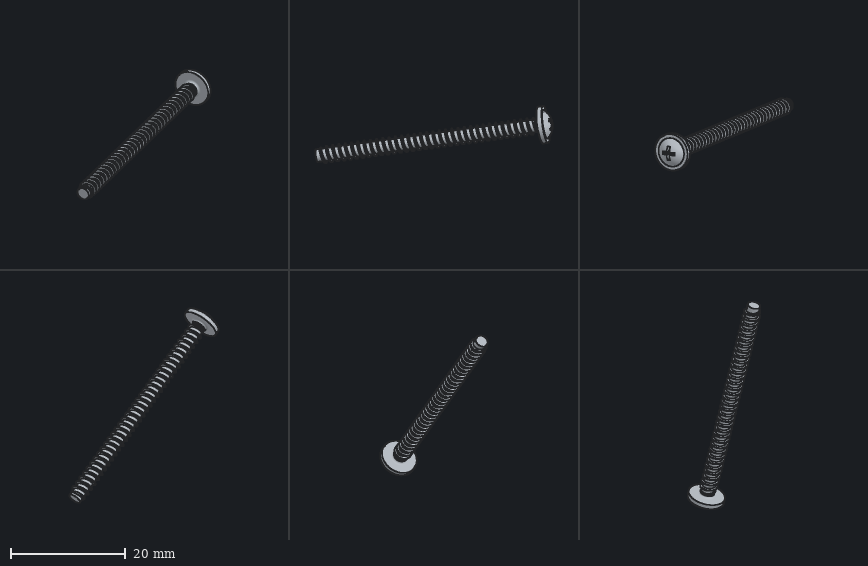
import cadquery as cq
import math


flange_radius = 3.25
flange_thickness = 0.9
dome_base_radius = 2.55
dome_apex = 2.08

recess_span = 2.4
recess_wing_width = 0.5
recess_depth = 1.2

shank_length = 40.0
core_radius = 1.12
neck_radius = 1.25
neck_fillet = 0.5
neck_end = 0.76

crest_radius = 1.5
pitch = 1.12
thread_turns = 35
thread_start = 0.4
crest_width = 0.1
root_width = 0.42
root_overlap = 0.08
first_turn_rise = (0.75, 1.4)
last_turn_fall = (38.45, 39.5)

root_radius = core_radius - root_overlap


def make_body():
    """Head, neck and core of the shank as one turned solid."""
    dome_height = dome_apex - flange_thickness
    dome_radius = (dome_base_radius**2 + dome_height**2) / (2 * dome_height)
    dome_center = dome_apex - dome_radius
    dome_middle_x = dome_base_radius / 2
    dome_middle_z = dome_center + math.sqrt(dome_radius**2 - dome_middle_x**2)
    fillet_center_x = neck_radius + neck_fillet
    fillet_middle = neck_fillet * math.cos(math.pi / 4)
    profile = (
        cq.Workplane("XZ")
        .moveTo(0, -shank_length)
        .lineTo(core_radius, -shank_length)
        .lineTo(core_radius, -neck_end)
        .lineTo(neck_radius, -neck_fillet)
        .threePointArc(
            (fillet_center_x - fillet_middle, fillet_middle - neck_fillet),
            (fillet_center_x, 0),
        )
        .lineTo(flange_radius, 0)
        .lineTo(flange_radius, flange_thickness)
        .lineTo(dome_base_radius, flange_thickness)
        .threePointArc((dome_middle_x, dome_middle_z), (0, dome_apex))
        .close()
    )
    return profile.revolve(360, (0, 0), (0, 1))


def make_recess():
    """Cross-shaped cutter with two straight wings, set into the top of the dome."""
    floor = cq.Workplane("XY").workplane(offset=dome_apex - recess_depth)
    wing = floor.rect(recess_span, recess_wing_width).extrude(recess_depth)
    return wing.union(wing.rotate((0, 0, 0), (0, 0, 1), 90))


def make_thread_envelope():
    """Turned sleeve whose conical ends make the thread rise from and fade into the core."""
    inner_radius = root_radius / 2
    rise_begin, rise_end = first_turn_rise
    fall_begin, fall_end = last_turn_fall
    profile = (
        cq.Workplane("XZ")
        .moveTo(inner_radius, -rise_begin)
        .lineTo(core_radius, -rise_begin)
        .lineTo(crest_radius + root_overlap, -rise_end)
        .lineTo(crest_radius + root_overlap, -fall_begin)
        .lineTo(core_radius, -fall_end)
        .lineTo(inner_radius, -fall_end)
        .close()
    )
    return profile.revolve(360, (0, 0), (0, 1))


def make_thread():
    """Right-handed helical tooth, trapezoidal in section, faded at both ends."""
    length = thread_turns * pitch
    path = cq.Workplane("XY").add(cq.Wire.makeHelix(pitch, length, core_radius))
    flank_slope = (root_width - crest_width) / 2 / (crest_radius - core_radius)
    half_crest = crest_width / 2
    half_base = half_crest + flank_slope * (crest_radius - root_radius)
    tooth = cq.Workplane("XZ").polyline(
        [
            (root_radius, -half_base),
            (crest_radius, -half_crest),
            (crest_radius, half_crest),
            (root_radius, half_base),
        ]
    ).close()
    helix = tooth.sweep(path, isFrenet=True)
    helix = helix.rotate((0, 0, 0), (0, 0, 1), 180).translate((0, 0, -thread_start - length))
    return helix.intersect(make_thread_envelope())


screw = make_body().cut(make_recess()).union(make_thread())
result = screw.rotate((0, 0, 0), (1, 0, 0), -90)